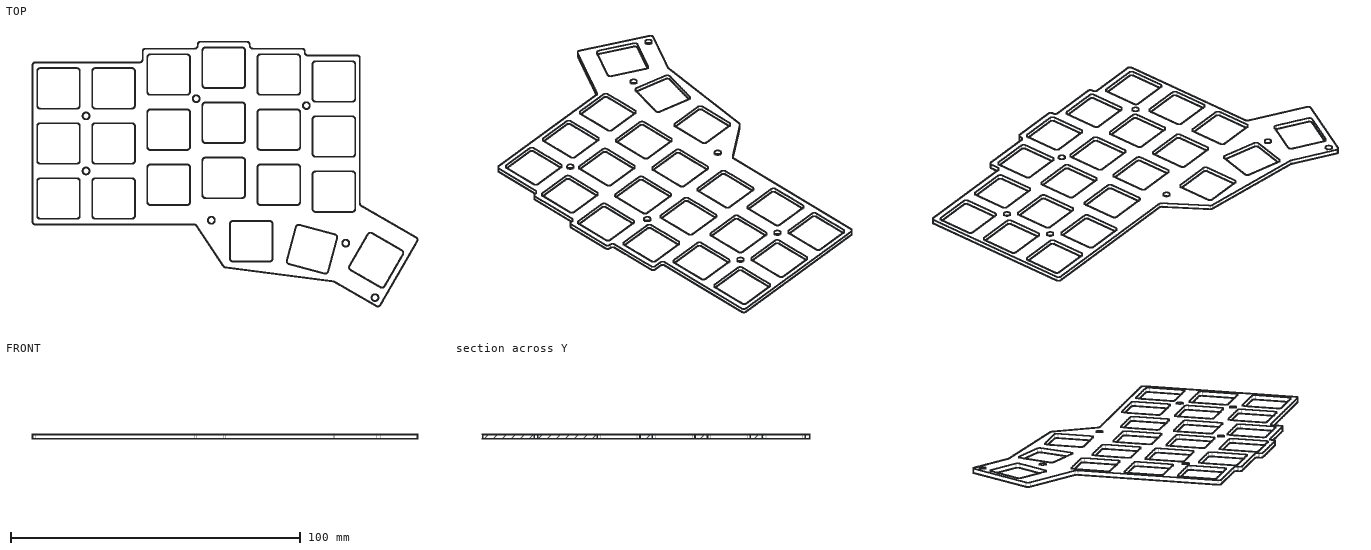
import cadquery as cq
import math


THICKNESS = 1.6
KEY_PITCH = 19.0
KEY_BORDER = 9.0
OUTER_RADIUS = 1.0

WINDOW_WIDTH = 14.65
WINDOW_HEIGHT = 13.9
WINDOW_RADIUS = 1.0

ROWS = 3
STAGGER_STEP = KEY_PITCH / 8
COLUMN_STEPS = [0, 0, 2, 3, 2, 1]

QUARTER_TURN = 90.0
INNER_THUMB_X = 3.5 * KEY_PITCH
OUTER_THUMB_X = 109.6
OUTER_THUMB_Y = -21.27
OUTER_THUMB_TILT = -30.0
OUTER_THUMB_HALF_LENGTH = 13.7
THUMB_KEYS = [
    (INNER_THUMB_X, -14.75, 0.0),
    (87.45, -17.5, -15.0),
    (OUTER_THUMB_X, OUTER_THUMB_Y, OUTER_THUMB_TILT + QUARTER_TURN),
]

THUMB_EDGE_START_X = 47.3
THUMB_CORNER = (57.1, -23.75)
THUMB_EDGE_END_X = 95.0

HOLE_DIAMETER = 2.3
THUMB_HOLES = [(52.75, -7.5), (99.1, -15.4), (109.2, -34.2)]


def column_x(column):
    return column * KEY_PITCH


def key_y(column, row):
    return COLUMN_STEPS[column] * STAGGER_STEP + row * KEY_PITCH


def outer_thumb_point(along, across):
    """Point in plate coordinates, given in the tilted frame of the outer thumb key."""
    tilt = math.radians(OUTER_THUMB_TILT)
    x = OUTER_THUMB_X + along * math.cos(tilt) - across * math.sin(tilt)
    y = OUTER_THUMB_Y + along * math.sin(tilt) + across * math.cos(tilt)
    return (x, y)


def tilted_edge_y(x, across):
    """Height at x of the tilted edge lying `across` from the outer thumb key centre."""
    edge_x, edge_y = outer_thumb_point(0, across)
    return edge_y + (x - edge_x) * math.tan(math.radians(OUTER_THUMB_TILT))


def top_edge_points():
    """Stepped top edge, left to right; the higher column keeps its full width."""
    last = len(COLUMN_STEPS) - 1
    points = [(column_x(0) - KEY_BORDER, key_y(0, ROWS - 1) + KEY_BORDER)]
    for column in range(last):
        height = key_y(column, ROWS - 1) + KEY_BORDER
        next_height = key_y(column + 1, ROWS - 1) + KEY_BORDER
        if next_height > height:
            step_x = column_x(column + 1) - KEY_BORDER
        else:
            step_x = column_x(column) + KEY_BORDER
        if next_height != height:
            points += [(step_x, height), (step_x, next_height)]
    points.append((column_x(last) + KEY_BORDER, key_y(last, ROWS - 1) + KEY_BORDER))
    return points


def plate_blank():
    right_x = column_x(len(COLUMN_STEPS) - 1) + KEY_BORDER
    upper = OUTER_THUMB_HALF_LENGTH
    lower = -OUTER_THUMB_HALF_LENGTH
    outline = top_edge_points() + [
        (right_x, tilted_edge_y(right_x, upper)),
        outer_thumb_point(KEY_BORDER, upper),
        outer_thumb_point(KEY_BORDER, lower),
        (THUMB_EDGE_END_X, tilted_edge_y(THUMB_EDGE_END_X, lower)),
        THUMB_CORNER,
        (THUMB_EDGE_START_X, -KEY_BORDER),
        (-KEY_BORDER, -KEY_BORDER),
    ]
    blank = cq.Workplane("XY").polyline(outline).close().extrude(THICKNESS)
    return blank.edges("|Z").fillet(OUTER_RADIUS)


def window(x, y, rotation):
    cutter = cq.Workplane("XY").rect(WINDOW_WIDTH, WINDOW_HEIGHT).extrude(THICKNESS)
    cutter = cutter.edges("|Z").fillet(WINDOW_RADIUS)
    return cutter.rotate((0, 0, 0), (0, 0, 1), rotation).translate((x, y, 0))


def between_keys(column, row):
    """Middle of the four keys whose lower-left one is the given key."""
    x = column_x(column) + KEY_PITCH / 2
    y = (key_y(column, row) + key_y(column + 1, row) + KEY_PITCH) / 2
    return (x, y)


key_places = list(THUMB_KEYS)
for column in range(len(COLUMN_STEPS)):
    for row in range(ROWS):
        key_places.append((column_x(column), key_y(column, row), 0.0))

plate = plate_blank()
for x, y, rotation in key_places:
    plate = plate.cut(window(x, y, rotation))

grid_holes = [between_keys(0, 0), between_keys(0, 1), between_keys(2, 1), between_keys(4, 1)]
screw_holes = (
    cq.Workplane("XY")
    .pushPoints(grid_holes + THUMB_HOLES)
    .circle(HOLE_DIAMETER / 2)
    .extrude(THICKNESS)
)

result = plate.cut(screw_holes)